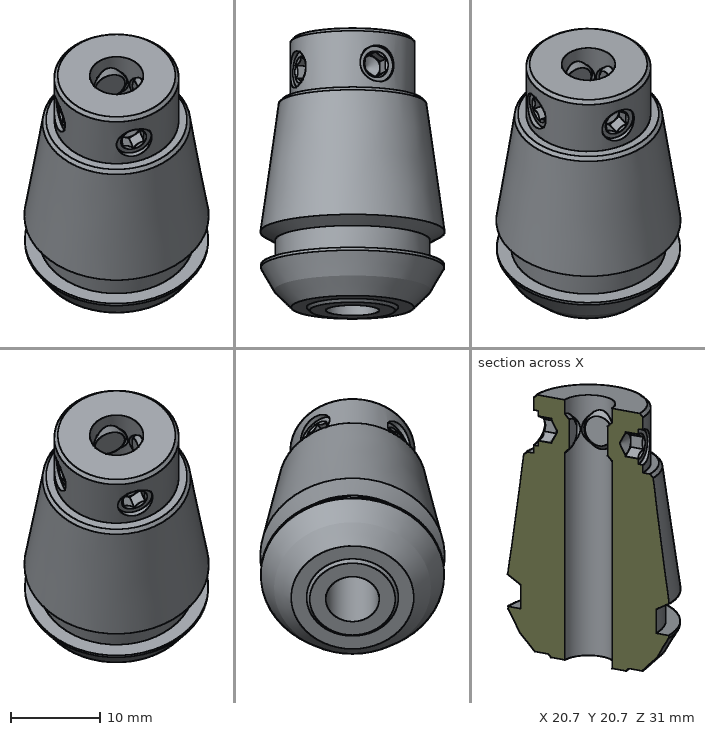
import math

import cadquery as cq

HEIGHT = 31.0
HEAD_DIA = 14.0
HEAD_CHAMFER = 0.4
SHOULDER_Z = 24.0
SHOULDER_CHAMFER = 0.4
BODY_MAX_DIA = 20.73
BODY_HALF_ANGLE = 8.0
GROOVE_DIA = 17.4
GROOVE_TOP_Z = 8.0
GROOVE_FLANK_ANGLE = 30.0
FLANGE_DIA = 20.6
FLANGE_TOP_Z = 5.2
FLANGE_RIM = 0.33
FLANGE_HALF_ANGLE = 30.0
LOWER_CHAMFER = 1.92
FACE_Z = 0.35
NOSE_DIA = 9.6

BORE_DIA = 6.0

SCREW_COUNT = 4
SCREW_HOLE_DIA = 4.13
SCREW_DIA = 5.0
SCREW_Z = 27.0
SCREW_TIP_RADIUS = 2.42
SCREW_TIP_DIA = 3.5
SCREW_LENGTH = 4.0
SOCKET_FLATS = 2.5
SOCKET_DEPTH = 1.7
SOCKET_MOUTH_DIA = 3.0
SOCKET_MOUTH_HALF_ANGLE = 45.0
DRILL_POINT_HALF_ANGLE = 60.0


def tan_deg(angle):
    return math.tan(math.radians(angle))


def make_outer_shape():
    """Revolve the tapered body, groove, flange and nose around Z."""
    head_r = HEAD_DIA / 2
    body_r = BODY_MAX_DIA / 2
    groove_r = GROOVE_DIA / 2
    flange_r = FLANGE_DIA / 2
    nose_r = NOSE_DIA / 2

    body_max_z = GROOVE_TOP_Z + (body_r - groove_r) * tan_deg(GROOVE_FLANK_ANGLE)
    body_top_z = SHOULDER_Z - SHOULDER_CHAMFER
    body_top_r = body_r - (body_top_z - body_max_z) * tan_deg(BODY_HALF_ANGLE)
    rim_z = FLANGE_TOP_Z - FLANGE_RIM
    bevel_z = FACE_Z + LOWER_CHAMFER
    bevel_r = flange_r - (rim_z - bevel_z) * tan_deg(FLANGE_HALF_ANGLE)

    outline = [
        (0, 0),
        (nose_r, 0),
        (nose_r + FACE_Z, FACE_Z),
        (bevel_r - LOWER_CHAMFER, FACE_Z),
        (bevel_r, bevel_z),
        (flange_r, rim_z),
        (flange_r, FLANGE_TOP_Z),
        (groove_r, FLANGE_TOP_Z),
        (groove_r, GROOVE_TOP_Z),
        (body_r, body_max_z),
        (body_top_r, body_top_z),
        (body_top_r - SHOULDER_CHAMFER, SHOULDER_Z),
        (head_r, SHOULDER_Z),
        (head_r, HEIGHT - HEAD_CHAMFER),
        (head_r - HEAD_CHAMFER, HEIGHT),
        (0, HEIGHT),
    ]
    return cq.Workplane("XZ").polyline(outline).close().revolve(360, (0, 0), (0, 1))


def cylinder_along_x(diameter, start, end):
    """Cylinder at screw height, running from x = start to x = end."""
    plane = cq.Workplane("YZ", origin=(start, 0, SCREW_Z))
    return plane.circle(diameter / 2).extrude(end - start)


def cone_along_x(diameter, base, half_angle):
    """Cone at screw height with its base at x = base and its tip toward the axis."""
    radius = diameter / 2
    height = radius / tan_deg(half_angle)
    cone = cq.Solid.makeCone(
        radius, 0, height, pnt=cq.Vector(base, 0, SCREW_Z), dir=cq.Vector(-1, 0, 0)
    )
    return cq.Workplane(obj=cone)


def make_screw():
    """Bevelled, flat-tipped set screw on the +X side with a hexagon socket facing outward."""
    screw_face = SCREW_TIP_RADIUS + SCREW_LENGTH
    socket_floor = screw_face - SOCKET_DEPTH
    corner_dia = SOCKET_FLATS / math.cos(math.pi / 6)
    socket = (
        cq.Workplane("YZ", origin=(socket_floor, 0, SCREW_Z))
        .transformed(rotate=(0, 0, 90))
        .polygon(6, corner_dia)
        .extrude(SOCKET_DEPTH)
    )
    drill_point = cone_along_x(SOCKET_FLATS, socket_floor, DRILL_POINT_HALF_ANGLE)
    mouth = cone_along_x(SOCKET_MOUTH_DIA, screw_face, SOCKET_MOUTH_HALF_ANGLE)
    screw = cylinder_along_x(SCREW_DIA, SCREW_TIP_RADIUS, screw_face)
    screw = screw.faces("<X").chamfer((SCREW_DIA - SCREW_TIP_DIA) / 2)
    return screw.cut(socket).cut(drill_point).cut(mouth)


def add_screws(part):
    """Drill the radial holes and fill each with a set screw."""
    hole = cylinder_along_x(SCREW_HOLE_DIA, 0, HEAD_DIA)
    screw = make_screw()
    angles = [i * 360 / SCREW_COUNT for i in range(SCREW_COUNT)]
    for angle in angles:
        part = part.cut(hole.rotate((0, 0, 0), (0, 0, 1), angle))
    for angle in angles:
        part = part.union(screw.rotate((0, 0, 0), (0, 0, 1), angle))
    return part


bored = make_outer_shape().faces(">Z").workplane().hole(BORE_DIA)
result = add_screws(bored)